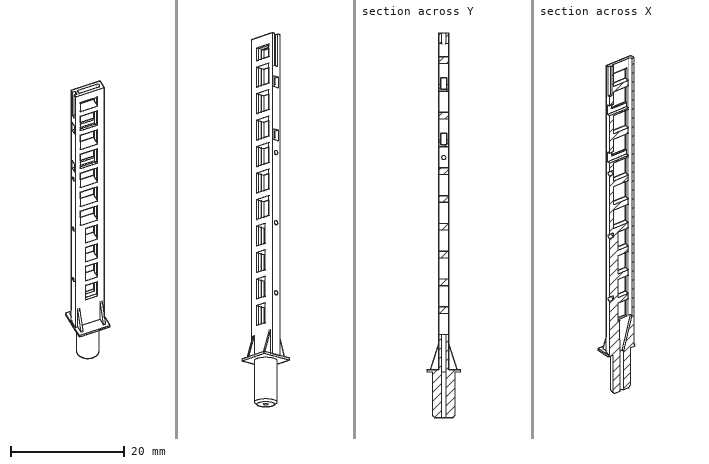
import cadquery as cq

total_height = 68.0
post_diameter = 4.0
post_length = 8.1
post_chamfer = 0.4

plate_side = 6.0
plate_thickness = 0.4
plate_top = post_length + plate_thickness

mast_width = 1.85
mast_depth = 5.6
mast_back = mast_depth / 2
mast_front = -mast_back

gusset_thickness = 0.4
gusset_height = 4.55
gusset_reach = 2.4
gusset_inset = 0.6
gusset_offset = mast_back - gusset_inset

rear_wall = 1.3
window_back = mast_back - rear_wall
wide_window = 3.3
narrow_window = 2.3
window_height = 3.7
wide_count = 6
narrow_count = 4
window_count = wide_count + narrow_count
first_window_top = 62.55
last_window_bottom = 14.75
window_pitch = (first_window_top - window_height - last_window_bottom) / (window_count - 1)
bar_height = window_pitch - window_height

top_window_height = 2.3
top_window_bottom = first_window_top + bar_height
top_window_top = top_window_bottom + top_window_height

wire_diameter = 0.75
wire_radius = wire_diameter / 2
channel_center_y = window_back + wire_radius
channel_back = channel_center_y + wire_radius
ramp_front = window_back - narrow_window + wire_radius

groove_width = 0.7
groove_depth = 0.55
groove_length = 6.0

opening_width = 1.0
opening_height = 2.0
opening_sink = 0.8
opening_bars = (0, 2)

pin_diameter = 0.75
pin_depth = 0.9
pin_pitch = 13.0
top_pin_z = 46.0
pin_count = 3


def block(x_size, y_range, z_range):
    """Box centred on X between the given Y and Z limits."""
    y_min, y_max = y_range
    z_min, z_max = z_range
    return (
        cq.Workplane("XY")
        .box(x_size, y_max - y_min, z_max - z_min, centered=(True, False, False))
        .translate((0, y_min, z_min))
    )


def base():
    post = cq.Workplane("XY").circle(post_diameter / 2).extrude(post_length)
    post = post.faces("<Z").chamfer(post_chamfer)
    plate = (
        cq.Workplane("XY")
        .workplane(offset=post_length)
        .rect(plate_side, plate_side)
        .extrude(plate_thickness)
    )
    return post.union(plate)


def gusset_pair(y_center):
    """Both gussets at one Y place, drawn as one trapezoid through the mast."""
    gusset_top = plate_top + gusset_height
    outline = [
        (-gusset_reach, plate_top),
        (gusset_reach, plate_top),
        (mast_width / 2, gusset_top),
        (-mast_width / 2, gusset_top),
    ]
    return (
        cq.Workplane("XZ", origin=(0, y_center, 0))
        .polyline(outline)
        .close()
        .extrude(gusset_thickness / 2, both=True)
    )


def window(top, height, width):
    return block(2 * mast_width, (window_back - width, window_back), (top - height, top))


def windows():
    cut = window(top_window_top, top_window_height, wide_window)
    for index in range(window_count):
        width = wide_window if index < wide_count else narrow_window
        cut = cut.union(window(first_window_top - index * window_pitch, window_height, width))
    return cut


def wire_channel():
    """Round-backed channel in the rear wall, with a slot through the top bar."""
    bore = (
        cq.Workplane("XY", origin=(0, channel_center_y, last_window_bottom))
        .circle(wire_radius)
        .extrude(total_height - last_window_bottom)
    )
    mouth = block(wire_diameter, (window_back, channel_center_y), (last_window_bottom, total_height))
    top_slot = block(
        wire_diameter,
        (window_back - wide_window, channel_center_y),
        (top_window_top, total_height),
    )
    return bore.union(mouth).union(top_slot)


def wire_outlet():
    """Funnel from the last window down to a bore along the post axis."""
    ramp = (
        cq.Workplane("YZ")
        .moveTo(ramp_front, last_window_bottom)
        .lineTo(channel_back, last_window_bottom)
        .lineTo(wire_radius, post_length)
        .lineTo(-wire_radius, post_length)
        .close()
        .extrude(wire_radius, both=True)
    )
    bore = cq.Workplane("XY").circle(wire_radius).extrude(plate_top)
    return ramp.union(bore)


def front_groove():
    return block(
        groove_width,
        (mast_front, mast_front + groove_depth),
        (total_height - groove_length, total_height),
    )


def lamp_opening(bar_index):
    bar_top = first_window_top - bar_index * window_pitch - window_height
    bottom = bar_top - opening_sink
    return block(opening_width, (mast_front, window_back), (bottom, bottom + opening_height))


def pin_hole(z_center):
    return (
        cq.Workplane("XZ", origin=(0, mast_front, z_center))
        .circle(pin_diameter / 2)
        .extrude(-pin_depth)
    )


mast = block(mast_width, (mast_front, mast_back), (plate_top, total_height))
result = base().union(mast)
for side in (-1, 1):
    result = result.union(gusset_pair(side * gusset_offset))

result = result.cut(windows()).cut(front_groove())
result = result.cut(wire_channel()).cut(wire_outlet())
for bar_index in opening_bars:
    result = result.cut(lamp_opening(bar_index))
for index in range(pin_count):
    result = result.cut(pin_hole(top_pin_z - index * pin_pitch))